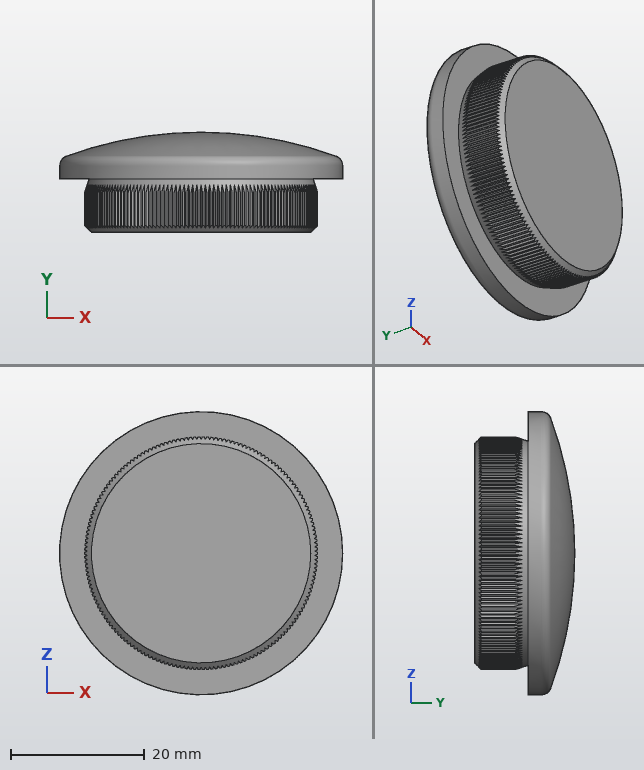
import cadquery as cq
import math

flange_radius = 21.2
rim_height = 2.0
rim_fillet = 1.5
cap_height = 7.0

plug_length = 8.0
plug_radius = 17.43
neck_radius = 16.8
neck_length = 2.0
end_chamfer = 1.0

groove_count = 170
groove_depth = 0.348
groove_angle = 60.0
cutter_overlap = 0.2

fillet_center_radius = flange_radius - rim_fillet
apex_rise = cap_height - rim_height
dome_radius = (fillet_center_radius**2 + apex_rise**2 - rim_fillet**2) / (2 * (apex_rise - rim_fillet))
dome_center = cap_height - dome_radius


def on_arc(center_radius, center_height, radius, angle):
    """Point on a profile arc, with the angle measured from the radial direction."""
    return (center_radius + radius * math.cos(angle), center_height + radius * math.sin(angle))


def make_cap_and_plug():
    """Revolve the smooth body about the Y axis, with the seat face at Y = 0."""
    tangent_angle = math.atan2(rim_height - dome_center, fillet_center_radius)
    dome_mid_angle = (tangent_angle + math.pi / 2) / 2
    fillet_mid = on_arc(fillet_center_radius, rim_height, rim_fillet, tangent_angle / 2)
    fillet_end = on_arc(fillet_center_radius, rim_height, rim_fillet, tangent_angle)
    dome_mid = on_arc(0, dome_center, dome_radius, dome_mid_angle)
    profile = (
        cq.Workplane("XY")
        .moveTo(0, -plug_length)
        .lineTo(plug_radius - end_chamfer, -plug_length)
        .lineTo(plug_radius, -plug_length + end_chamfer)
        .lineTo(plug_radius, -neck_length)
        .lineTo(neck_radius, 0)
        .lineTo(flange_radius, 0)
        .lineTo(flange_radius, rim_height)
        .threePointArc(fillet_mid, fillet_end)
        .threePointArc(dome_mid, (0, cap_height))
        .close()
    )
    return profile.revolve(360, (0, 0, 0), (0, 1, 0))


def make_groove_cutters():
    """V-shaped prisms along the plug, one per groove, the first one on the +Z side."""
    half_width = (groove_depth + cutter_overlap) * math.tan(math.radians(groove_angle / 2))
    outer_height = plug_radius + cutter_overlap
    groove = (
        cq.Workplane("XZ")
        .moveTo(0, plug_radius - groove_depth)
        .lineTo(half_width, outer_height)
        .lineTo(-half_width, outer_height)
        .close()
        .extrude(plug_length)
        .val()
    )
    pitch_angle = 360 / groove_count
    return [groove.rotate((0, 0, 0), (0, 1, 0), index * pitch_angle) for index in range(groove_count)]


cutters = cq.Compound.makeCompound(make_groove_cutters())
result = make_cap_and_plug().cut(cq.Workplane(cutters))